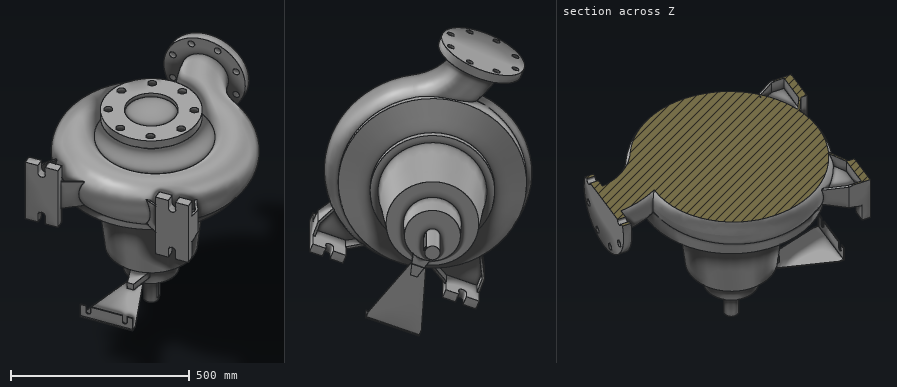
import cadquery as cq
import math


tube_radius = 71.5
scroll_radius = 221.0
scroll_offset = 12.0
tail_radius = 48.0
tail_sections = 5

outlet_face_y = 400.0
outlet_flange_radius = 125.0
outlet_bolt_circle = 105.0
outlet_hole_radius = 10.0

inlet_face_z = 142.0
inlet_flange_radius = 143.0
inlet_bolt_circle = 121.0
inlet_hole_radius = 12.0
inlet_bore_radius = 75.0
inlet_bore_depth = 13.0

flange_thickness = 26.5
bolt_count = 8

bend_radius = (outlet_face_y**2 + scroll_offset**2 - scroll_radius**2) / (2 * (scroll_radius + scroll_offset))
outlet_turn = math.degrees(math.atan2(outlet_face_y, bend_radius - scroll_offset))

neck_radius = 82.0
neck_base_z = 66.5
cover_edge_radius = 200.0
cover_edge_z = 43.5
casing_radius = 264.5
casing_top_z = -26.5
casing_bottom_z = -79.0
rim_radius = 175.0
rim_top_z = -114.0
rim_bottom_z = -132.0
bearing_top_radius = 153.0
bearing_bottom_radius = 130.0
bearing_bottom_z = -337.5
hub_top_radius = 81.5
hub_bottom_radius = 79.0
hub_bottom_z = -416.0
shaft_radius = 21.5
shaft_end_z = -528.0

key_width = 13.5
key_reach = 24.0
key_bottom_z = -516.0
key_top_z = -427.0

foot_inner_x = 149.5
foot_outer_x = 250.0
foot_height = 201.5
foot_front_y = -312.5
foot_back_y = -286.0
foot_slot_width = 22.0
foot_slot_depth = 38.0
web_thickness = 7.0
web_root_y = -300.0
web_bend_y = -245.0
outer_web_lean = 27
outer_web_length = 99.0
inner_web_y = -293.0
inner_web_lean = 30
inner_web_length = 89.5
web_base_height = 92.0
web_slope = 0.18

bracket_front_y = -315.0
bracket_back_y = -112.0
bracket_taper_y = -296.0
bracket_half_width = 80.0
bracket_tip_half_width = 23.0
bracket_thickness = 3.0
bracket_top_z = -351.0
bracket_bottom_z = -395.5
bracket_slot_x = 56.0
bracket_slot_width = 14.0
bracket_slot_depth = 26.5

bar_root_y = -64.0
bar_tip_y = -146.5
bar_root_half_width = 31.0
bar_tip_half_width = 10.0
bar_height = 21.0


def block(x0, x1, y0, y1, z0, z1):
    return cq.Workplane("XY").box(x1 - x0, y1 - y0, z1 - z0, centered=False).translate((x0, y0, z0))


def bolt_holes(plane, circle_radius, hole_radius):
    """Cylinders on a bolt circle, straddling the axes, cut from the plane through one flange."""
    half_step = 180 / bolt_count
    return (
        plane.polarArray(circle_radius, half_step, 360, bolt_count)
        .circle(hole_radius)
        .extrude(-flange_thickness)
    )


def revolved_body():
    profile = [
        (0, inlet_face_z),
        (inlet_flange_radius, inlet_face_z),
        (inlet_flange_radius, inlet_face_z - flange_thickness),
        (neck_radius, inlet_face_z - flange_thickness),
        (neck_radius, neck_base_z),
        (cover_edge_radius, cover_edge_z),
        (cover_edge_radius, casing_top_z),
        (casing_radius, casing_top_z),
        (casing_radius, casing_bottom_z),
        (rim_radius, rim_top_z),
        (rim_radius, rim_bottom_z),
        (bearing_top_radius, rim_bottom_z),
        (bearing_bottom_radius, bearing_bottom_z),
        (hub_top_radius, bearing_bottom_z),
        (hub_bottom_radius, hub_bottom_z),
        (shaft_radius, hub_bottom_z),
        (shaft_radius, shaft_end_z),
        (0, shaft_end_z),
    ]
    body = cq.Workplane("XZ").polyline(profile).close().revolve(360, (0, 0, 0), (0, 1, 0))
    face = cq.Workplane("XY", origin=(0, 0, inlet_face_z))
    bore = face.circle(inlet_bore_radius).extrude(-inlet_bore_depth)
    return body.cut(bore).cut(bolt_holes(face, inlet_bolt_circle, inlet_hole_radius))


def scroll():
    """Constant tube from the -X side, round -Y and +X, to the start of the outlet bend."""
    start = cq.Workplane("XZ").center(scroll_offset - scroll_radius, 0).circle(tube_radius)
    return start.revolve(180 + outlet_turn, (scroll_radius, 0, 0), (scroll_radius, 1, 0))


def outlet_bend():
    """Reverse bend that ends along +Y, on the pump axis, at the discharge face."""
    end = cq.Workplane("XZ", origin=(0, outlet_face_y, 0)).circle(tube_radius)
    return end.revolve(outlet_turn, (bend_radius, 0, 0), (bend_radius, 1, 0))


def tail():
    """Tube round the pump axis that shrinks ever faster from the -X side to under the outlet bend."""
    path_radius = scroll_radius - scroll_offset
    sections = []
    for i in range(tail_sections):
        share = i / (tail_sections - 1)
        angle = math.radians(180 - share * (180 - outlet_turn))
        radial = cq.Vector(math.cos(angle), math.sin(angle), 0)
        along = cq.Vector(math.sin(angle), -math.cos(angle), 0)
        radius = tube_radius + share**2 * (tail_radius - tube_radius)
        circle = cq.Wire.makeCircle(radius, radial * path_radius, along)
        sections.append(circle)
    return cq.Workplane(cq.Solid.makeLoft(sections))


def outlet_flange():
    face = cq.Workplane("ZX", origin=(0, outlet_face_y, 0))
    disc = face.circle(outlet_flange_radius).extrude(-flange_thickness)
    return disc.cut(bolt_holes(face, outlet_bolt_circle, outlet_hole_radius))


def shaft_key():
    return block(0, key_reach, -key_width / 2, key_width / 2, key_bottom_z, key_top_z)


def open_slot(x, open_z, width, depth, direction, y0, y1):
    """Round-ended slot along Y that opens at open_z and runs into the plate along Z."""
    centre_z = open_z + direction * (depth - width / 2)
    z0, z1 = sorted((open_z, centre_z))
    straight = block(x - width / 2, x + width / 2, y0, y1, z0, z1)
    end = cq.Workplane("XZ", origin=(x, y1, centre_z)).circle(width / 2).extrude(y1 - y0)
    return straight.union(end)


def foot_webs():
    """Two bent side webs that get lower towards the volute, and a level web between them."""
    outer_lean = math.radians(outer_web_lean)
    inner_lean = math.radians(inner_web_lean)
    outline = [
        (foot_outer_x, web_root_y),
        (foot_outer_x, web_bend_y),
        (
            foot_outer_x - outer_web_length * math.sin(outer_lean),
            web_bend_y + outer_web_length * math.cos(outer_lean),
        ),
        (
            foot_inner_x - inner_web_length * math.cos(inner_lean),
            inner_web_y + inner_web_length * math.sin(inner_lean),
        ),
        (foot_inner_x, inner_web_y),
        (foot_inner_x, web_root_y),
    ]
    webs = cq.Workplane("XY").polyline(outline).close().extrude(web_base_height, both=True)
    hollow = cq.Workplane("XY").polyline(outline).close().offset2D(-web_thickness, "intersection")
    hollow = hollow.extrude(web_base_height, both=True)
    level_web = block(0, foot_outer_x, web_root_y, 0, -web_thickness / 2, web_thickness / 2)
    webs = webs.cut(hollow.cut(level_web))

    root_half = web_base_height / 2 + web_slope * (foot_back_y - web_root_y)
    tip_half = root_half + web_slope * web_root_y
    side_shape = [
        (web_root_y, -root_half),
        (web_root_y, root_half),
        (0, tip_half),
        (0, -tip_half),
    ]
    return webs.intersect(cq.Workplane("YZ").polyline(side_shape).close().extrude(foot_outer_x))


def foot():
    """Slotted foot plate on the +X side, carried by its webs."""
    half = foot_height / 2
    plate = block(foot_inner_x, foot_outer_x, foot_front_y, foot_back_y, -half, half)
    centre_x = (foot_inner_x + foot_outer_x) / 2
    for side in (-1, 1):
        plate = plate.cut(
            open_slot(
                centre_x, side * half, foot_slot_width, foot_slot_depth, -side, foot_front_y, foot_back_y
            )
        )
    return plate.union(foot_webs())


def bracket():
    """Bent sheet: a tapered floor and an upright with two slots open at the top."""
    floor_outline = [
        (-bracket_half_width, bracket_front_y),
        (bracket_half_width, bracket_front_y),
        (bracket_half_width, bracket_taper_y),
        (bracket_tip_half_width, bracket_back_y),
        (-bracket_tip_half_width, bracket_back_y),
        (-bracket_half_width, bracket_taper_y),
    ]
    floor = cq.Workplane("XY", origin=(0, 0, bracket_bottom_z)).polyline(floor_outline).close()
    floor = floor.extrude(bracket_thickness)
    upright_back_y = bracket_front_y + bracket_thickness
    upright = block(
        -bracket_half_width, bracket_half_width,
        bracket_front_y, upright_back_y,
        bracket_bottom_z, bracket_top_z,
    )
    for x in (-bracket_slot_x, bracket_slot_x):
        upright = upright.cut(
            open_slot(
                x, bracket_top_z, bracket_slot_width, bracket_slot_depth, -1, bracket_front_y, upright_back_y
            )
        )
    return floor.union(upright)


def bracket_bar():
    outline = [
        (-bar_root_half_width, bar_root_y),
        (bar_root_half_width, bar_root_y),
        (bar_tip_half_width, bar_tip_y),
        (-bar_tip_half_width, bar_tip_y),
    ]
    base = cq.Workplane("XY", origin=(0, 0, bracket_bottom_z + bracket_thickness))
    return base.polyline(outline).close().extrude(bar_height)


right_foot = foot()
left_foot = right_foot.mirror("YZ")
parts = [
    scroll(),
    outlet_bend(),
    tail(),
    outlet_flange(),
    shaft_key(),
    right_foot,
    left_foot,
    bracket_bar(),
    bracket(),
]
result = revolved_body()
for attached_part in parts:
    result = result.union(attached_part)